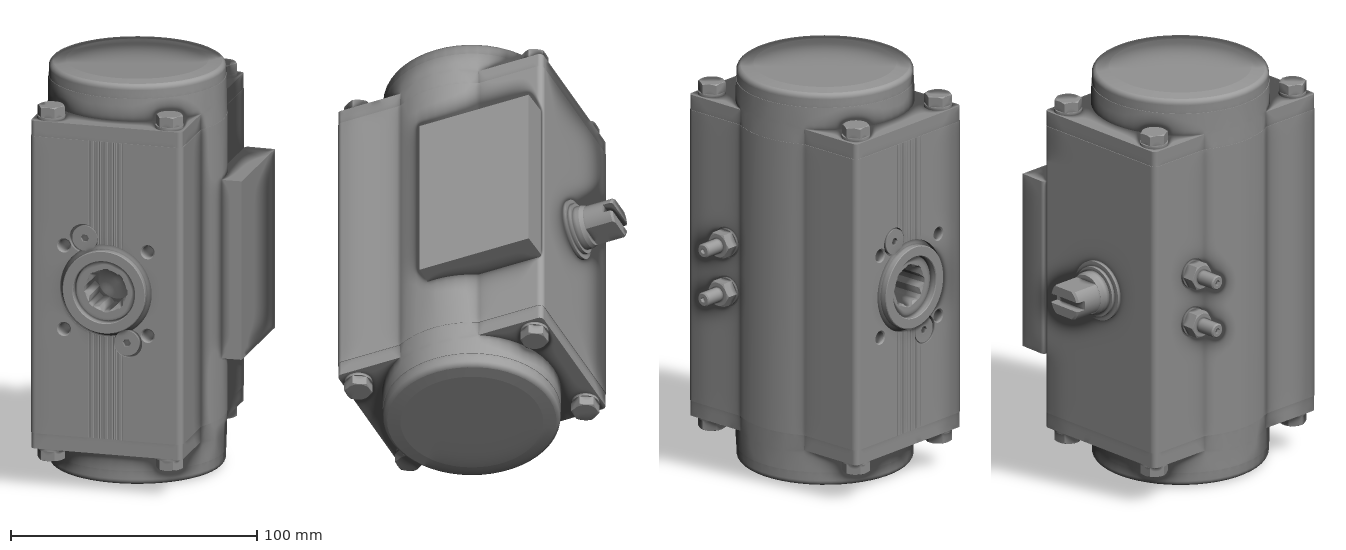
import math

import cadquery as cq


OVERALL_WIDTH = 91.77
OVERALL_DEPTH = 115.0

HOUSING_HALF_WIDTH = 32.25
HOUSING_HALF_DEPTH = 46.0
HOUSING_HALF_LENGTH = 62.8
HOUSING_CORNER_RADIUS = 2.5
BARREL_RADIUS = 36.65
BARREL_BLEND_RADIUS = 3.5
FRONT_Y = -HOUSING_HALF_DEPTH
BACK_Y = HOUSING_HALF_DEPTH

PAD_FACE_X = 44.9
PAD_LOW_Y = -3.2
PAD_HALF_LENGTH = 37.75
PAD_CORNER_RADIUS = 1.5
PAD_DRAFT = 0.3

GROOVE_DEPTH = 0.3
GROOVE_PITCH = 0.98
GROOVES_PER_GROUP = 5
LAND_WIDTH = 1.0

MOUNT_CIRCLE_DIAMETER = 50.0
MOUNT_HOLE_DIAMETER = 4.92
MOUNT_HOLE_MOUTH_DIAMETER = 6.0
MOUNT_HOLE_DEPTH = 9.0
DRILL_POINT_ANGLE = 118.0

CAP_INSET = 0.25
CAP_HALF_WIDTH = HOUSING_HALF_WIDTH - CAP_INSET
CAP_HALF_DEPTH = HOUSING_HALF_DEPTH - CAP_INSET
CAP_CORNER_RADIUS = 2.0
CAP_FLANGE_THICKNESS = 6.5
CAP_TOP_Z = 85.2
CAP_BASE_RADIUS = 36.5
CAP_TAPER_END_RADIUS = 36.2
CAP_RIM_RADIUS = 36.0
CAP_TAPER_END_Z = 78.7
CAP_RIM_Z = 82.4
CAP_SHOULDER_RADIUS = 34.4
CAP_SHOULDER_Z = 84.6
CAP_FLAT_RADIUS = 29.0

BOLT_X = 25.0
BOLT_Y = 39.25
BOLT_WASHER_DIAMETER = 11.5
BOLT_WASHER_THICKNESS = 1.2
BOLT_HEAD_HEIGHT = 4.3

HEX_ACROSS_FLATS = 10.0
HEX_CHAMFER_DROP = 0.45
HEX_FACE_DIAMETER = 9.8

STOP_Y = 24.5
STOP_Z = 10.5
STOP_DIAMETER = 6.0
STOP_TIP_X = PAD_FACE_X - OVERALL_WIDTH
STOP_TIP_CHAMFER = 0.5
STOP_NUT_OUTER_X = -38.0
STOP_WASHER_DIAMETER = 11.5
STOP_WASHER_THICKNESS = 1.0
STOP_SEAT_DIAMETER = 13.0
STOP_SEAT_DEPTH = 0.5
STOP_INNER_X = -22.0
STOP_SOCKET_ACROSS_FLATS = 2.2
STOP_SOCKET_DEPTH = 3.0

SHAFT_DIAMETER = 25.0
SHAFT_FRONT_Y = FRONT_Y
SHAFT_TIP_Y = BACK_Y + 20.0
SHAFT_COLLAR_TOP_Y = BACK_Y + 1.5
SHAFT_CLIP_DIAMETER = 21.0
SHAFT_CLIP_TOP_Y = BACK_Y + 2.9
SHAFT_NECK_DIAMETER = 18.0
SHAFT_NECK_TOP_Y = BACK_Y + 5.6
SHAFT_NECK_CHAMFER = 0.7
SHAFT_HEAD_LENGTH = 12.7
SHAFT_HEAD_DIAMETER = 16.4
SHAFT_HEAD_CHAMFER = 0.8
SHAFT_ACROSS_FLATS = 12.0
SHAFT_SLOT_WIDTH = 4.0
SHAFT_SLOT_DEPTH = 4.0
STAR_ACROSS_FLATS = 14.4
STAR_TIP_DIAMETER = 18.4
STAR_MOUTH_DIAMETER = 17.6
STAR_DEPTH = 16.0
STAR_DRILL_DIAMETER = STAR_ACROSS_FLATS / math.cos(math.pi / 8)

RING_DIAMETER = 35.0
RING_PROJECTION = OVERALL_DEPTH - (SHAFT_TIP_Y - FRONT_Y)
RING_BORE = 26.0
RING_FLANGE_DIAMETER = 38.8
RING_FLANGE_DEPTH = 2.0
RING_EDGE_CHAMFER = 0.3

RETAINER_CIRCLE_RADIUS = 23.2
RETAINER_ANGLE = 22.5
RETAINER_HEAD_DIAMETER = 10.57
RETAINER_HEAD_HEIGHT = 2.0
RETAINER_SHANK_DIAMETER = 4.13
RETAINER_SHANK_LENGTH = 10.0
RETAINER_SOCKET_ACROSS_FLATS = 3.0
RETAINER_SOCKET_DEPTH = 1.5
RETAINER_RECESS_DIAMETER = 12.0
RETAINER_RECESS_SHIFT = 0.5


def along_y(x, y, z):
    """Workplane at the given point whose normal is +Y (local axes: X and -Z)."""
    return cq.Workplane(cq.Plane(origin=(x, y, z), xDir=(1, 0, 0), normal=(0, 1, 0)))


def along_x(x, y, z):
    """Workplane at the given point whose normal is +X (local axes: Y and Z)."""
    return cq.Workplane(cq.Plane(origin=(x, y, z), xDir=(0, 1, 0), normal=(1, 0, 0)))


def turned_about_y(profile):
    """Solid of revolution about Y from (radius, y) points."""
    return cq.Workplane("XY").polyline(profile).close().revolve(360, (0, 0, 0), (0, 1, 0))


def drill_point_height(diameter):
    return diameter / 2 / math.tan(math.radians(DRILL_POINT_ANGLE / 2))


def across_corners(across_flats):
    return across_flats / math.cos(math.pi / 6)


def chamfered_hexagon(workplane, height):
    """Hexagon prism with its outer corners rounded off by a cone."""
    corner_diameter = across_corners(HEX_ACROSS_FLATS)
    corner_radius = corner_diameter / 2
    prism = workplane.polygon(6, corner_diameter).extrude(height)
    drop = HEX_CHAMFER_DROP
    envelope = workplane.circle(corner_radius).extrude(height - drop)
    crown = (
        workplane.workplane(offset=height - drop)
        .circle(corner_radius)
        .workplane(offset=drop)
        .circle(HEX_FACE_DIAMETER / 2)
        .loft()
    )
    return prism.intersect(envelope.union(crown))


def retainer_places():
    """(side, x, z) of the two retaining screws; side is the sign of x."""
    angle = math.radians(RETAINER_ANGLE)
    x = RETAINER_CIRCLE_RADIUS * math.sin(angle)
    z = RETAINER_CIRCLE_RADIUS * math.cos(angle)
    return [(-1, -x, z), (1, x, -z)]



def housing_block():
    length = 2 * HOUSING_HALF_LENGTH
    box = (
        cq.Workplane("XY")
        .box(2 * HOUSING_HALF_WIDTH, 2 * HOUSING_HALF_DEPTH, length)
        .edges("|Z")
        .fillet(HOUSING_CORNER_RADIUS)
    )
    barrel = cq.Workplane("XY").circle(BARREL_RADIUS).extrude(length / 2, both=True)
    blend_y = math.sqrt(BARREL_RADIUS**2 - HOUSING_HALF_WIDTH**2)
    reach = BARREL_BLEND_RADIUS
    body = box.union(barrel)
    blend_edges = cq.selectors.BoxSelector(
        (-HOUSING_HALF_WIDTH - reach, -blend_y - reach, -reach),
        (HOUSING_HALF_WIDTH + reach, blend_y + reach, reach),
    )
    return body.edges("|Z").edges(blend_edges).fillet(BARREL_BLEND_RADIUS)


def mounting_pad():
    """Pad whose Y sides draw in slightly towards its outer face."""
    root_x = HOUSING_HALF_WIDTH
    outline = [
        (0, PAD_LOW_Y),
        (root_x, PAD_LOW_Y),
        (PAD_FACE_X, PAD_LOW_Y + PAD_DRAFT),
        (PAD_FACE_X, BACK_Y - PAD_DRAFT),
        (root_x + PAD_CORNER_RADIUS, BACK_Y),
    ]
    return (
        cq.Workplane("XY")
        .polyline(outline)
        .radiusArc((root_x, BACK_Y - PAD_CORNER_RADIUS), -PAD_CORNER_RADIUS)
        .lineTo(0, BACK_Y - PAD_CORNER_RADIUS)
        .close()
        .extrude(PAD_HALF_LENGTH, both=True)
    )


def groove_centres():
    """X places of the V grooves: a full group either side of the middle land, one more beyond."""
    places = []
    for side in (-1, 1):
        group_start = LAND_WIDTH / 2
        for index in range(GROOVES_PER_GROUP):
            places.append(side * (group_start + (index + 0.5) * GROOVE_PITCH))
        group_end = group_start + GROOVES_PER_GROUP * GROOVE_PITCH
        places.append(side * (group_end + LAND_WIDTH + GROOVE_PITCH / 2))
    return places


def front_grooves():
    grooves = cq.Workplane("XY")
    for x in groove_centres():
        groove = (
            cq.Workplane("XY")
            .moveTo(x - GROOVE_PITCH / 2, FRONT_Y)
            .lineTo(x + GROOVE_PITCH / 2, FRONT_Y)
            .lineTo(x, FRONT_Y + GROOVE_DEPTH)
            .close()
            .extrude(HOUSING_HALF_LENGTH, both=True)
        )
        grooves = grooves.add(groove)
    return grooves.combine()


def mounting_hole(x, z):
    radius = MOUNT_HOLE_DIAMETER / 2
    mouth_radius = MOUNT_HOLE_MOUTH_DIAMETER / 2
    floor_y = FRONT_Y + MOUNT_HOLE_DEPTH
    hole = turned_about_y([
        (0, FRONT_Y),
        (mouth_radius, FRONT_Y),
        (radius, FRONT_Y + mouth_radius - radius),
        (radius, floor_y),
        (0, floor_y + drill_point_height(MOUNT_HOLE_DIAMETER)),
    ])
    return hole.translate((x, 0, z))


def make_housing():
    housing = housing_block().union(mounting_pad())
    housing = housing.cut(front_grooves())

    offset = MOUNT_CIRCLE_DIAMETER / 2 * math.cos(math.pi / 4)
    for x in (-offset, offset):
        for z in (-offset, offset):
            housing = housing.cut(mounting_hole(x, z))

    shaft_bore = along_y(0, FRONT_Y, 0).circle(SHAFT_DIAMETER / 2).extrude(2 * HOUSING_HALF_DEPTH)
    ring_recess = along_y(0, FRONT_Y, 0).circle(RING_FLANGE_DIAMETER / 2).extrude(RING_FLANGE_DEPTH)
    housing = housing.cut(shaft_bore).cut(ring_recess)

    for side, x, z in retainer_places():
        recess_x = x + side * RETAINER_RECESS_SHIFT
        recess = (
            along_y(recess_x, FRONT_Y, z)
            .circle(RETAINER_RECESS_DIAMETER / 2)
            .extrude(RETAINER_HEAD_HEIGHT)
        )
        housing = housing.cut(recess).cut(retainer_blank(x, z))

    for z in (-STOP_Z, STOP_Z):
        stop_hole = (
            along_x(-HOUSING_HALF_WIDTH, STOP_Y, z)
            .circle(STOP_DIAMETER / 2)
            .extrude(STOP_INNER_X + HOUSING_HALF_WIDTH)
        )
        stop_seat = (
            along_x(-HOUSING_HALF_WIDTH, STOP_Y, z)
            .circle(STOP_SEAT_DIAMETER / 2)
            .extrude(STOP_SEAT_DEPTH)
        )
        housing = housing.cut(stop_hole).cut(stop_seat)
    return housing



def cap_bolt_head(x, y, seat_z):
    washer = (
        cq.Workplane("XY", origin=(x, y, seat_z))
        .circle(BOLT_WASHER_DIAMETER / 2)
        .extrude(BOLT_WASHER_THICKNESS)
    )
    head_base = cq.Workplane("XY", origin=(x, y, seat_z + BOLT_WASHER_THICKNESS))
    return washer.union(chamfered_hexagon(head_base, BOLT_HEAD_HEIGHT))


def make_upper_cap():
    base_z = HOUSING_HALF_LENGTH
    flange_top_z = base_z + CAP_FLANGE_THICKNESS
    flange = (
        cq.Workplane("XY", origin=(0, 0, base_z))
        .rect(2 * CAP_HALF_WIDTH, 2 * CAP_HALF_DEPTH)
        .extrude(CAP_FLANGE_THICKNESS)
        .edges("|Z")
        .fillet(CAP_CORNER_RADIUS)
    )
    dome = (
        cq.Workplane("XZ")
        .moveTo(0, base_z)
        .lineTo(CAP_BASE_RADIUS, base_z)
        .lineTo(CAP_TAPER_END_RADIUS, CAP_TAPER_END_Z)
        .lineTo(CAP_RIM_RADIUS, CAP_TAPER_END_Z)
        .lineTo(CAP_RIM_RADIUS, CAP_RIM_Z)
        .tangentArcPoint((CAP_SHOULDER_RADIUS, CAP_SHOULDER_Z), relative=False)
        .lineTo(CAP_FLAT_RADIUS, CAP_TOP_Z)
        .lineTo(0, CAP_TOP_Z)
        .close()
        .revolve(360, (0, 0, 0), (0, 1, 0))
    )
    cap = flange.union(dome)
    for x in (-BOLT_X, BOLT_X):
        for y in (-BOLT_Y, BOLT_Y):
            cap = cap.union(cap_bolt_head(x, y, flange_top_z))
    return cap



def star_socket():
    """Eight pointed socket: two squares turned by 45 degrees, tips trimmed round, drilled floor."""
    mouth = along_y(0, SHAFT_FRONT_Y, 0)
    square = mouth.rect(STAR_ACROSS_FLATS, STAR_ACROSS_FLATS).extrude(STAR_DEPTH)
    turned_square = square.rotate((0, 0, 0), (0, 1, 0), 45)
    tip_limit = mouth.circle(STAR_TIP_DIAMETER / 2).extrude(STAR_DEPTH)
    socket = square.union(turned_square).intersect(tip_limit)
    floor_y = SHAFT_FRONT_Y + STAR_DEPTH
    drill_point = turned_about_y([
        (0, floor_y),
        (STAR_DRILL_DIAMETER / 2, floor_y),
        (0, floor_y + drill_point_height(STAR_DRILL_DIAMETER)),
    ])
    mouth_chamfer = turned_about_y([
        (0, SHAFT_FRONT_Y),
        (STAR_MOUTH_DIAMETER / 2, SHAFT_FRONT_Y),
        (0, SHAFT_FRONT_Y + STAR_MOUTH_DIAMETER / 2),
    ])
    return socket.union(drill_point).union(mouth_chamfer)


def make_shaft():
    body_radius = SHAFT_DIAMETER / 2
    clip_radius = SHAFT_CLIP_DIAMETER / 2
    neck_radius = SHAFT_NECK_DIAMETER / 2
    head_radius = SHAFT_HEAD_DIAMETER / 2
    head_base_y = SHAFT_TIP_Y - SHAFT_HEAD_LENGTH
    shaft = turned_about_y([
        (0, SHAFT_FRONT_Y),
        (body_radius, SHAFT_FRONT_Y),
        (body_radius, SHAFT_COLLAR_TOP_Y),
        (clip_radius, SHAFT_COLLAR_TOP_Y),
        (clip_radius, SHAFT_CLIP_TOP_Y),
        (neck_radius, SHAFT_CLIP_TOP_Y),
        (neck_radius, SHAFT_NECK_TOP_Y),
        (neck_radius - SHAFT_NECK_CHAMFER, head_base_y),
        (head_radius, head_base_y),
        (head_radius, SHAFT_TIP_Y - SHAFT_HEAD_CHAMFER),
        (head_radius - SHAFT_HEAD_CHAMFER, SHAFT_TIP_Y),
        (0, SHAFT_TIP_Y),
    ])
    flat_offset = SHAFT_ACROSS_FLATS / 2
    for side in (-1, 1):
        flat_cut = (
            along_y(0, head_base_y, side * (flat_offset + head_radius / 2))
            .rect(2 * head_radius, head_radius)
            .extrude(SHAFT_HEAD_LENGTH)
        )
        shaft = shaft.cut(flat_cut)
    slot = (
        along_y(0, SHAFT_TIP_Y - SHAFT_SLOT_DEPTH, 0)
        .rect(2 * head_radius, SHAFT_SLOT_WIDTH)
        .extrude(SHAFT_SLOT_DEPTH)
    )
    return shaft.cut(slot).cut(star_socket())



def make_ring():
    """Spigot with a conical foot that sits in the housing recess, under the retaining screws."""
    bore_radius = RING_BORE / 2
    spigot_radius = RING_DIAMETER / 2
    face_y = FRONT_Y - RING_PROJECTION
    foot_y = FRONT_Y + RING_FLANGE_DEPTH
    ring = turned_about_y([
        (bore_radius, face_y + RING_EDGE_CHAMFER),
        (bore_radius + RING_EDGE_CHAMFER, face_y),
        (spigot_radius - RING_EDGE_CHAMFER, face_y),
        (spigot_radius, face_y + RING_EDGE_CHAMFER),
        (spigot_radius, FRONT_Y),
        (RING_FLANGE_DIAMETER / 2, foot_y),
        (bore_radius, foot_y),
    ])
    for _, x, z in retainer_places():
        ring = ring.cut(retainer_blank(x, z))
    return ring



def retainer_blank(x, z):
    """Retaining screw without its socket; also the tool that clears room for it."""
    head = along_y(x, FRONT_Y, z).circle(RETAINER_HEAD_DIAMETER / 2).extrude(RETAINER_HEAD_HEIGHT)
    shank = (
        along_y(x, FRONT_Y, z)
        .circle(RETAINER_SHANK_DIAMETER / 2)
        .extrude(RETAINER_HEAD_HEIGHT + RETAINER_SHANK_LENGTH)
    )
    return head.union(shank)


def make_retainer(x, z):
    socket_corners = across_corners(RETAINER_SOCKET_ACROSS_FLATS)
    socket = along_y(x, FRONT_Y, z).polygon(6, socket_corners).extrude(RETAINER_SOCKET_DEPTH)
    return retainer_blank(x, z).cut(socket)



def make_stop_screw(z):
    """Set screw with its lock nut and washer."""
    rod = (
        along_x(STOP_TIP_X, STOP_Y, z)
        .circle(STOP_DIAMETER / 2)
        .extrude(STOP_INNER_X - STOP_TIP_X)
        .faces("<X")
        .chamfer(STOP_TIP_CHAMFER)
    )
    washer_seat_x = -HOUSING_HALF_WIDTH + STOP_SEAT_DEPTH
    nut_seat_x = washer_seat_x - STOP_WASHER_THICKNESS
    washer = (
        along_x(nut_seat_x, STOP_Y, z)
        .circle(STOP_WASHER_DIAMETER / 2)
        .extrude(STOP_WASHER_THICKNESS)
    )
    nut_seat = cq.Workplane(
        cq.Plane(origin=(nut_seat_x, STOP_Y, z), xDir=(0, 1, 0), normal=(-1, 0, 0))
    )
    nut = chamfered_hexagon(nut_seat, nut_seat_x - STOP_NUT_OUTER_X)
    socket_corners = across_corners(STOP_SOCKET_ACROSS_FLATS)
    socket = along_x(STOP_TIP_X, STOP_Y, z).polygon(6, socket_corners).extrude(STOP_SOCKET_DEPTH)
    return rod.union(washer).union(nut).cut(socket)



housing = make_housing()
upper_cap = make_upper_cap()
lower_cap = upper_cap.mirror("XY")
shaft = make_shaft()
ring = make_ring()
retainers = [make_retainer(x, z) for _, x, z in retainer_places()]
stop_screws = [make_stop_screw(z) for z in (-STOP_Z, STOP_Z)]

result = cq.Compound.makeCompound([
    housing.val(),
    upper_cap.val(),
    lower_cap.val(),
    shaft.val(),
    ring.val(),
    *[retainer.val() for retainer in retainers],
    *[stop_screw.val() for stop_screw in stop_screws],
])